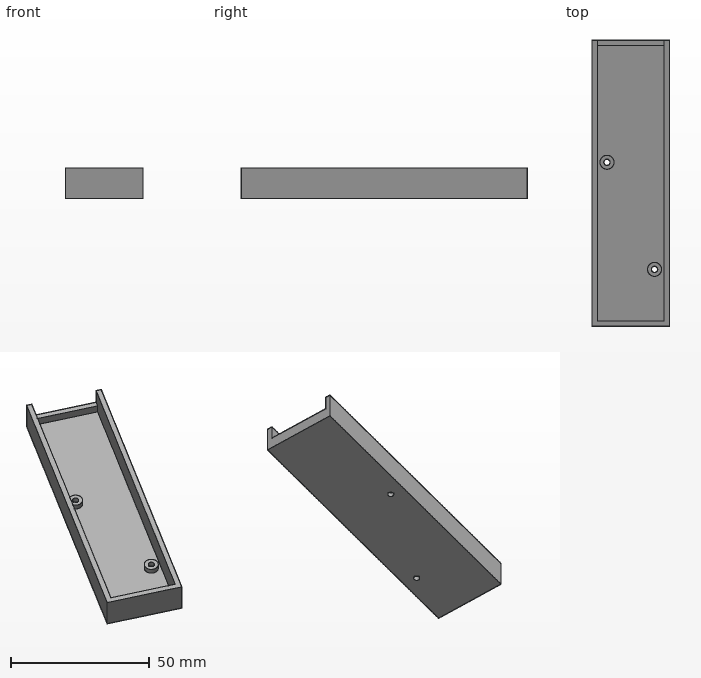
import cadquery as cq

tray_width = 28.0
tray_length = 103.0
tray_height = 11.0
wall = 2.0
floor_thickness = wall
low_wall_height = 5.0

standoff_diameter = 5.0
standoff_height = 2.0
bore_diameter = 2.2
standoff_side_inset = 5.5
rear_standoff_inset = 44.0
front_standoff_inset = 20.5

standoff_x = tray_width / 2 - standoff_side_inset
standoff_centres = [
    (-standoff_x, tray_length / 2 - rear_standoff_inset),
    (standoff_x, -tray_length / 2 + front_standoff_inset),
]


def make_tray():
    """Box with a cavity, a lowered end wall and a hole under each standoff."""
    cavity_width = tray_width - 2 * wall
    cavity_length = tray_length - 2 * wall

    block = cq.Workplane("XY").box(tray_width, tray_length, tray_height, centered=(True, True, False))
    cavity = (
        cq.Workplane("XY", origin=(0, 0, floor_thickness))
        .rect(cavity_width, cavity_length)
        .extrude(tray_height - floor_thickness)
    )
    end_opening = (
        cq.Workplane("XY", origin=(0, tray_length / 2 - wall / 2, low_wall_height))
        .rect(cavity_width, wall)
        .extrude(tray_height - low_wall_height)
    )
    floor_holes = (
        cq.Workplane("XY")
        .pushPoints(standoff_centres)
        .circle(bore_diameter / 2)
        .extrude(floor_thickness)
    )
    return block.cut(cavity).cut(end_opening).cut(floor_holes)


def make_standoff(x, y):
    """Hollow post on the tray floor, its bore in line with the floor hole."""
    return (
        cq.Workplane("XY", origin=(x, y, floor_thickness))
        .circle(standoff_diameter / 2)
        .circle(bore_diameter / 2)
        .extrude(standoff_height)
    )


tray = make_tray()

standoffs = []
for centre_x, centre_y in standoff_centres:
    standoffs.append(make_standoff(centre_x, centre_y).val())

result = cq.Compound.makeCompound([tray.val(), *standoffs])